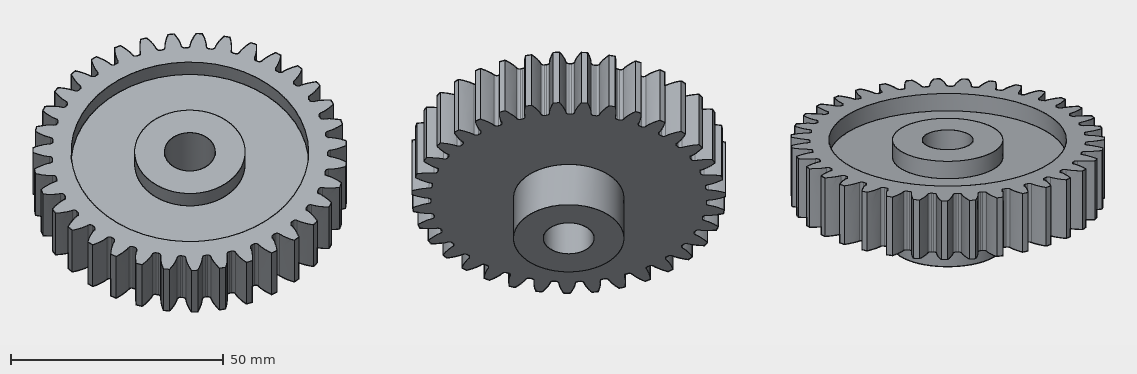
import cadquery as cq
import math

tooth_count = 35
tip_diameter = 74.0
pressure_angle = math.radians(20)
dedendum_factor = 1.25
root_fillet_factor = 0.38

face_width = 15.0
hub_diameter = 26.05
hub_length = 12.0
bore_diameter = 12.0
recess_diameter = 56.0
recess_depth = 4.45

module = tip_diameter / (tooth_count + 2)
tip_radius = tip_diameter / 2
pitch_radius = module * tooth_count / 2
base_radius = pitch_radius * math.cos(pressure_angle)
root_radius = pitch_radius - dedendum_factor * module

tooth_pitch = 2 * math.pi / tooth_count
first_tooth_angle = -math.pi / 2
flank_points = 6


def polar(radius, angle):
    return (radius * math.cos(angle), radius * math.sin(angle))


def involute_angle(radius):
    """Polar angle swept by the involute between the base circle and a radius."""
    roll = math.sqrt((radius / base_radius) ** 2 - 1)
    return roll - math.atan(roll)


base_half_angle = tooth_pitch / 4 + involute_angle(pitch_radius)

root_fillet_radius = root_fillet_factor * module
fillet_center_radius = root_radius + root_fillet_radius
fillet_half_angle = (
    base_half_angle + root_fillet_radius / base_radius - involute_angle(fillet_center_radius)
)

contact_tangent_length = math.sqrt(fillet_center_radius**2 - base_radius**2) - root_fillet_radius
flank_start_radius = math.hypot(base_radius, contact_tangent_length)


def flank(center, side):
    """Points along one involute flank from fillet to tip; side is -1 or +1."""
    points = []
    for i in range(flank_points):
        radius = flank_start_radius + (tip_radius - flank_start_radius) * i / (flank_points - 1)
        half_angle = base_half_angle - involute_angle(radius)
        points.append(polar(radius, center + side * half_angle))
    return points


def root_fillet(center, side):
    """Flank end, middle and root end of the fillet on one side of a tooth."""
    fillet_angle = center + side * fillet_half_angle
    center_x, center_y = polar(fillet_center_radius, fillet_angle)
    flank_end = flank(center, side)[0]
    root_end = polar(root_radius, fillet_angle)
    chord_x = (flank_end[0] + root_end[0]) / 2 - center_x
    chord_y = (flank_end[1] + root_end[1]) / 2 - center_y
    stretch = root_fillet_radius / math.hypot(chord_x, chord_y)
    middle = (center_x + chord_x * stretch, center_y + chord_y * stretch)
    return flank_end, middle, root_end


def gear_outline():
    first_root = root_fillet(first_tooth_angle, -1)[2]
    outline = cq.Workplane("XY").moveTo(*first_root)
    for i in range(tooth_count):
        center = first_tooth_angle + i * tooth_pitch
        leading = flank(center, -1)
        trailing = flank(center, 1)
        flank_end, middle, _ = root_fillet(center, -1)
        outline = outline.threePointArc(middle, flank_end)
        outline = outline.spline(leading[1:], includeCurrent=True)
        outline = outline.threePointArc(polar(tip_radius, center), trailing[-1])
        outline = outline.spline(trailing[-2::-1], includeCurrent=True)
        _, middle, root_end = root_fillet(center, 1)
        outline = outline.threePointArc(middle, root_end)
        next_root = root_fillet(center + tooth_pitch, -1)[2]
        outline = outline.threePointArc(polar(root_radius, center + tooth_pitch / 2), next_root)
    return outline.close()


body = gear_outline().extrude(face_width)

recess = (
    cq.Workplane("XY", origin=(0, 0, face_width))
    .circle(recess_diameter / 2)
    .circle(hub_diameter / 2)
    .extrude(-recess_depth)
)

hub = cq.Workplane("XY").circle(hub_diameter / 2).extrude(-hub_length)

bore = (
    cq.Workplane("XY", origin=(0, 0, -hub_length))
    .circle(bore_diameter / 2)
    .extrude(hub_length + face_width)
)

result = body.cut(recess).union(hub).cut(bore)